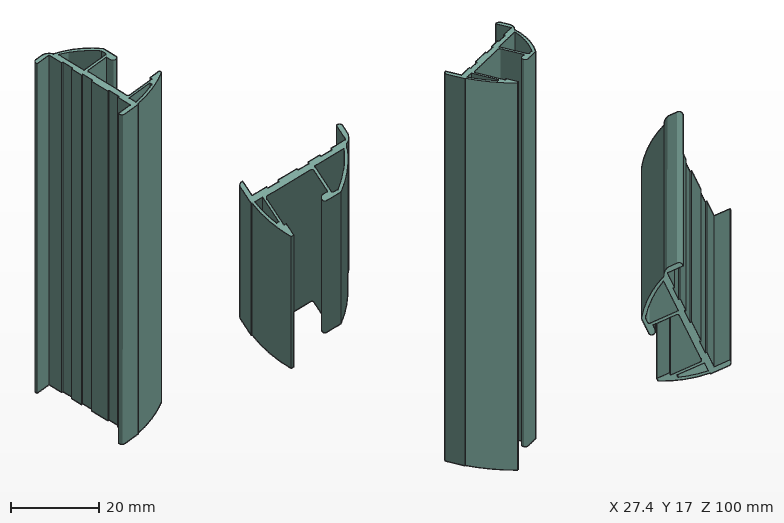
import cadquery as cq

length = 100.0
width = 27.4
height = 17.0

foot_thickness = 1.2
foot_radius = 0.9
web_bottom = 4.0
cavity_floor = 5.6
channel_floor = 5.9
channel_fillet = 0.5

groove_width = 3.0
groove_depth = 0.4
groove_starts = (5.1, 11.2, 19.3)

shoulder_start_y = 3.0
shoulder_mid = (0.5, 4.2)
shell_foot_x = 1.6
shell_foot_y = 5.0
shell_mid = (4.7, 10.3)
shell_top_x = 8.7
left_wall_start = 10.5
left_wall_end = 11.2
hook_end = 13.3
hook_top = 14.0
hook_bottom = 12.3
hook_top_radius = 0.7
hook_bottom_radius = 0.9
left_cavity_start = 2.6
left_cavity_mid = (5.3, 9.7)
left_cavity_end = 8.9
left_cavity_top = 13.1
left_cavity_fillet = 0.4

right_wall_start = 23.8
right_wall_end = 24.4
lip_start = 23.2
lip_bottom = 13.8
lip_tip_width = 0.7
right_ledge = 0.2
right_ledge_y = 5.5
right_shell_mid = (25.9, 12.1)
right_cavity_top = 12.5
right_cavity_top_end = 25.0
right_cavity_mid = (25.9, 9.3)
right_cavity_end = 26.5


def outer_profile():
    """Outside outline, starting at the left foot and running clockwise."""
    return (
        cq.Workplane("XY")
        .moveTo(0, 0)
        .lineTo(0, shoulder_start_y)
        .threePointArc(shoulder_mid, (shell_foot_x, shell_foot_y))
        .threePointArc(shell_mid, (shell_top_x, hook_top))
        .lineTo(hook_end, hook_top)
        .lineTo(hook_end, hook_bottom)
        .lineTo(left_wall_end, hook_bottom)
        .lineTo(left_wall_end, channel_floor)
        .lineTo(right_wall_start, channel_floor)
        .lineTo(right_wall_start, lip_bottom)
        .lineTo(lip_start, lip_bottom)
        .lineTo(lip_start, height)
        .lineTo(lip_start + lip_tip_width, height)
        .threePointArc(right_shell_mid, (width - right_ledge, right_ledge_y))
        .lineTo(width, right_ledge_y)
        .lineTo(width, 0)
        .lineTo(width - foot_thickness, 0)
        .lineTo(width - foot_thickness, web_bottom)
        .lineTo(foot_thickness, web_bottom)
        .lineTo(foot_thickness, 0)
        .close()
    )


def fillet_edge(body, x, y, radius):
    """Round the lengthwise edge that passes through (x, y)."""
    edge = cq.selectors.NearestToPointSelector((x, y, length / 2))
    return body.edges("|Z").edges(edge).fillet(radius)


def left_cavity():
    cavity = (
        cq.Workplane("XY")
        .moveTo(left_cavity_start, cavity_floor)
        .threePointArc(left_cavity_mid, (left_cavity_end, left_cavity_top))
        .lineTo(left_wall_start, left_cavity_top)
        .lineTo(left_wall_start, cavity_floor)
        .close()
        .extrude(length)
    )
    return fillet_edge(cavity, left_wall_start, left_cavity_top, left_cavity_fillet)


def right_cavity():
    return (
        cq.Workplane("XY")
        .moveTo(right_wall_end, cavity_floor)
        .lineTo(right_wall_end, right_cavity_top)
        .lineTo(right_cavity_top_end, right_cavity_top)
        .threePointArc(right_cavity_mid, (right_cavity_end, cavity_floor))
        .close()
        .extrude(length)
    )


def groove(start):
    return (
        cq.Workplane("XY")
        .moveTo(start, web_bottom)
        .rect(groove_width, groove_depth, centered=False)
        .extrude(length)
    )


result = outer_profile().extrude(length)
result = fillet_edge(result, hook_end, hook_top, hook_top_radius)
result = fillet_edge(result, hook_end, hook_bottom, hook_bottom_radius)
for corner_x in (left_wall_end, right_wall_start):
    result = fillet_edge(result, corner_x, channel_floor, channel_fillet)
for foot_x in (0, width):
    result = fillet_edge(result, foot_x, 0, foot_radius)

result = result.cut(left_cavity()).cut(right_cavity())

for groove_start in groove_starts:
    result = result.cut(groove(groove_start))